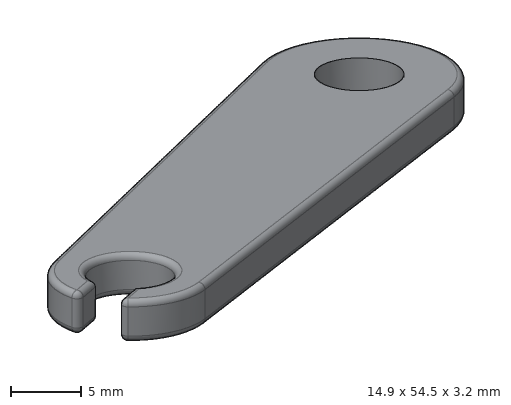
import cadquery as cq
import math

length = 54.5
thickness = 3.2
pivot_radius = 7.45
clip_radius = 5.9
center_distance = 41.55
hole_diameter = 6.4
slot_width = 3.0
edge_radius = 0.5
tip_radius = 0.5

pivot_y = length / 2 - pivot_radius
clip_y = pivot_y - center_distance

taper_angle = math.asin((pivot_radius - clip_radius) / center_distance)


def tangent_point(center_y, radius):
    """Right-hand point where the straight side meets an end circle."""
    return radius * math.cos(taper_angle), center_y - radius * math.sin(taper_angle)


def make_arm():
    pivot_x, pivot_side_y = tangent_point(pivot_y, pivot_radius)
    clip_x, clip_side_y = tangent_point(clip_y, clip_radius)
    return (
        cq.Workplane("XY")
        .moveTo(pivot_x, pivot_side_y)
        .threePointArc((0, pivot_y + pivot_radius), (-pivot_x, pivot_side_y))
        .lineTo(-clip_x, clip_side_y)
        .threePointArc((0, clip_y - clip_radius), (clip_x, clip_side_y))
        .close()
        .extrude(thickness)
    )


def make_hole(center_y):
    return cq.Workplane("XY").center(0, center_y).circle(hole_diameter / 2).extrude(thickness)


def make_slot():
    """Mouth of the clip, from its hole centre out past the end."""
    slot_length = 2 * clip_radius
    return (
        cq.Workplane("XY")
        .center(0, clip_y - slot_length / 2)
        .rect(slot_width, slot_length)
        .extrude(thickness)
    )


arm = make_arm().cut(make_hole(clip_y)).cut(make_slot())

clip_hole_bottom = clip_y - hole_diameter / 2
tip_zone = cq.selectors.BoxSelector(
    (-slot_width, clip_y - clip_radius, 0),
    (slot_width, clip_hole_bottom, thickness),
)
arm = arm.edges("|Z").edges(tip_zone).fillet(tip_radius)
arm = arm.faces("<Z or >Z").edges().fillet(edge_radius)

result = arm.cut(make_hole(pivot_y))